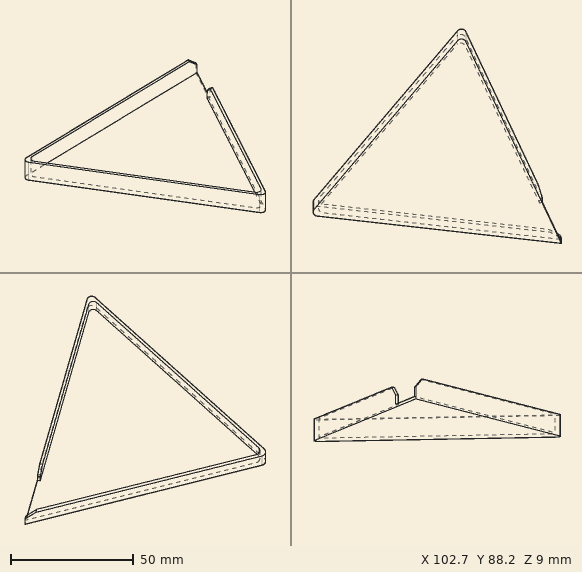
import cadquery as cq
import math

overall_length = 102.7
height = 9.0
corner_radius = 2.0
wall = 1.2
floor = wall
gap_length = 20.0
end_slope = 4.0

side = overall_length + corner_radius * (math.sqrt(3) - 1)
inner_side = side - 2 * math.sqrt(3) * wall


def triangle_prism(side_length, left_x, back_y, base_z, depth):
    """Prism on an equilateral triangle with its back edge along X and its tip toward -Y."""
    tip = (left_x + side_length / 2, back_y - side_length * math.sqrt(3) / 2)
    return (
        cq.Workplane("XY", origin=(0, 0, base_z))
        .polyline([(left_x, back_y), (left_x + side_length, back_y), tip])
        .close()
        .extrude(depth)
    )


def tray():
    """Walled tray with every corner rounded except the sharp left outer one."""
    outside = triangle_prism(side, 0, 0, 0, height)
    outside = outside.edges("|Z").edges("not <X").fillet(corner_radius)
    inside = triangle_prism(inner_side, math.sqrt(3) * wall, -wall, floor, height)
    inside = inside.edges("|Z").edges("not <X").fillet(corner_radius)
    return outside.cut(inside)


def corner_opening():
    """Space above the floor at the left corner, bounded by the inner face of the left wall."""
    face_x = 2 * wall / math.sqrt(3)
    outline = [
        (face_x, 0),
        (gap_length, 0),
        (gap_length, -wall),
        (face_x + wall / math.sqrt(3), -wall),
    ]
    return cq.Workplane("XY", origin=(0, 0, floor)).polyline(outline).close().extrude(height)


def left_wall_slope():
    """Wedge that slopes the end of the left wall down toward the back."""
    outline = [(-end_slope, height), (0, height), (0, height - end_slope)]
    return cq.Workplane("YZ").polyline(outline).close().extrude(gap_length)


def back_wall_slope():
    """Wedge that slopes the end of the back wall down toward the opening."""
    outline = [
        (gap_length, height),
        (gap_length + end_slope, height),
        (gap_length, height - end_slope),
    ]
    return cq.Workplane("XZ").polyline(outline).close().extrude(wall)


result = tray().cut(corner_opening()).cut(left_wall_slope()).cut(back_wall_slope())